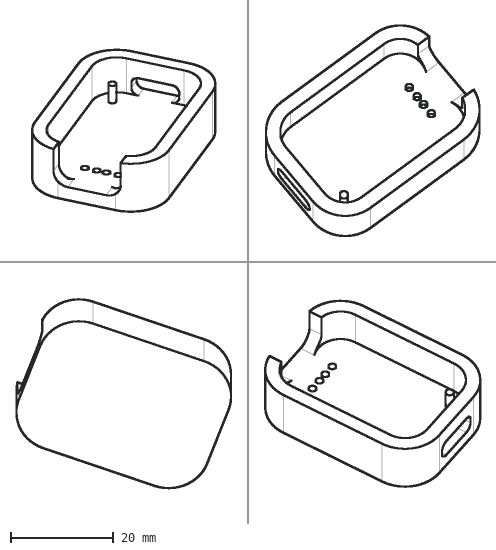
import cadquery as cq
import math

width = 28.0
length = 39
height = 11.0
corner_radius = 8.0
wall = 2.8
floor_thickness = 3.0

notch_width = 14.0
notch_radius = 3.0

slot_width = 10.0
slot_height = 3.98
slot_radius = 1.5

peg_diameter = 1.6
peg_height = 3.98
peg_x = -7.5
peg_y = 13.0

hole_diameter = 1.5
hole_depth = 2.0
hole_row_y = -11.75
inner_hole_offset = 1.0
outer_hole_offset = 3.47


def cavity_block():
    """Cavity cutter whose two -Y corner arcs curl back inward to the flat bottom of the notch."""
    half_x = width / 2 - wall
    half_y = length / 2 - wall
    radius = corner_radius - wall
    center_x = half_x - radius
    center_y = half_y - radius
    diagonal = radius * math.sqrt(0.5)
    tip_x = notch_width / 2 - notch_radius
    tip_y = -center_y - math.sqrt(radius**2 - (center_x - tip_x) ** 2)
    outline = (
        cq.Workplane("XY", origin=(0, 0, floor_thickness))
        .moveTo(tip_x, tip_y)
        .threePointArc((center_x + diagonal, -center_y - diagonal), (half_x, -center_y))
        .lineTo(half_x, center_y)
        .threePointArc((center_x + diagonal, center_y + diagonal), (center_x, half_y))
        .lineTo(-center_x, half_y)
        .threePointArc((-center_x - diagonal, center_y + diagonal), (-half_x, center_y))
        .lineTo(-half_x, -center_y)
        .threePointArc((-center_x - diagonal, -center_y - diagonal), (-tip_x, tip_y))
        .close()
    )
    return outline.extrude(height)


def wall_opening(size_x, size_z, center_y):
    """Square-edged cutter resting on the floor, long enough to clear one end wall."""
    cutter = cq.Workplane("XY").box(size_x, length / 2, size_z, centered=(True, True, False))
    return cutter.translate((0, center_y, floor_thickness))


def floor_cylinder(x, y, diameter, rise):
    """Cylinder on the floor; a negative rise goes down into it."""
    floor = cq.Workplane("XY", origin=(x, y, floor_thickness))
    return floor.circle(diameter / 2).extrude(rise)


body = cq.Workplane("XY").box(width, length, height, centered=(True, True, False))
body = body.edges("|Z").fillet(corner_radius)
cavity = cavity_block()
result = body.cut(cavity)

notch = wall_opening(notch_width, height, -length / 2).edges("|Y and <Z").fillet(notch_radius)
slot = wall_opening(slot_width, slot_height, length / 2).edges("|Y").fillet(slot_radius)
result = result.cut(notch).cut(slot)

result = result.union(floor_cylinder(peg_x, peg_y, peg_diameter, peg_height))
for hole_x in (-outer_hole_offset, -inner_hole_offset, inner_hole_offset, outer_hole_offset):
    result = result.cut(floor_cylinder(hole_x, hole_row_y, hole_diameter, -hole_depth))